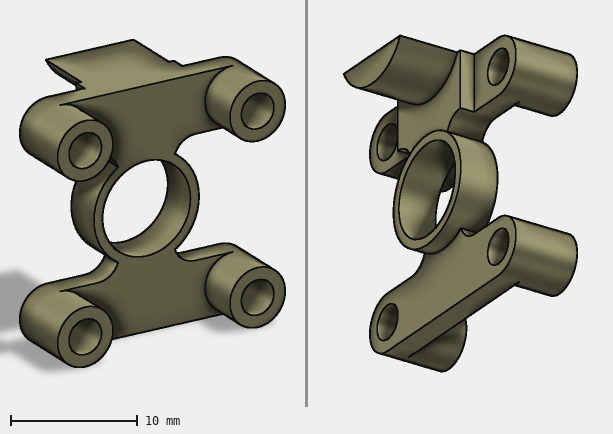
import cadquery as cq
import math

overall = 21.0
boss_diameter = 5.1
boss_hole_diameter = 3.0
boss_length = 5.8
arm_thickness = 2.0

ring_outer_diameter = 9.7
ring_bore_diameter = 8.1
ring_front = -1.5

pad_width = 9.0
pad_front = -1.3
neck_fillet_radius = 2.0

shelf_tip = -6.7
shelf_depth = 2.56
shelf_width = ring_bore_diameter

half_height = overall / 2
boss_offset = (overall - boss_diameter) / 2
arm_inner_z = half_height - boss_diameter
ring_radius = ring_outer_diameter / 2
boss_centers = [(y, z) for y in (-boss_offset, boss_offset) for z in (-boss_offset, boss_offset)]


def plane_at(x):
    """Sketch plane facing +X, with local axes along Y and Z."""
    return cq.Workplane("YZ", origin=(x, 0, 0))


def arm(side):
    """Flat bar joining two bosses; side is +1 for the upper arm, -1 for the lower."""
    return (
        plane_at(0)
        .center(0, side * boss_offset)
        .rect(2 * boss_offset, boss_diameter)
        .extrude(arm_thickness)
    )


def neck(side, front):
    """Web from an arm to the ring, flanked by concave arcs tangent to the arm edge."""
    half_width = pad_width / 2
    arc_center_z = arm_inner_z - neck_fillet_radius
    waist = half_width - neck_fillet_radius
    middle_offset = neck_fillet_radius * math.sqrt(0.5)
    middle_y = half_width - middle_offset
    middle_z = arc_center_z + middle_offset
    return (
        plane_at(front)
        .moveTo(-half_width, side * arm_inner_z)
        .threePointArc((-middle_y, side * middle_z), (-waist, side * arc_center_z))
        .lineTo(waist, side * arc_center_z)
        .threePointArc((middle_y, side * middle_z), (half_width, side * arm_inner_z))
        .close()
        .extrude(arm_thickness - front)
    )


def pad():
    """Raised block on the front of the upper arm."""
    return (
        plane_at(pad_front)
        .center(0, boss_offset)
        .rect(pad_width, boss_diameter)
        .extrude(-pad_front)
    )


def shelf():
    """Ledge with a flat top and a round underside, reaching forward from the pad."""
    half_width = shelf_width / 2
    return (
        plane_at(shelf_tip)
        .moveTo(-half_width, half_height)
        .threePointArc((0, half_height - shelf_depth), (half_width, half_height))
        .close()
        .extrude(-shelf_tip)
    )


bosses = plane_at(0).pushPoints(boss_centers).circle(boss_diameter / 2).extrude(boss_length)
boss_holes = plane_at(0).pushPoints(boss_centers).circle(boss_hole_diameter / 2).extrude(boss_length)

ring_length = arm_thickness - ring_front
ring = plane_at(ring_front).circle(ring_radius).extrude(ring_length)
ring_bore = plane_at(ring_front).circle(ring_bore_diameter / 2).extrude(ring_length)

body = bosses.union(arm(1)).union(arm(-1))
body = body.union(neck(1, pad_front)).union(neck(-1, 0))
body = body.union(pad()).union(shelf()).union(ring)

result = body.cut(boss_holes).cut(ring_bore)